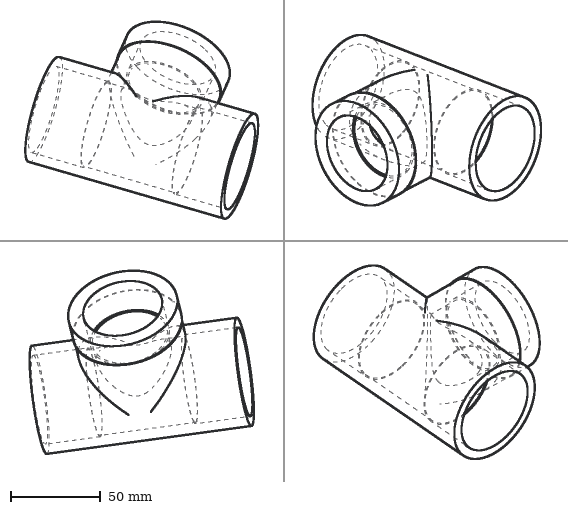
import cadquery as cq

run_length = 116.0
body_diameter = 61.0
run_bore_diameter = 48.5
socket_diameter = 50.0
socket_depth = 31.0

outlet_height = 58.9
collar_diameter = 62.0
collar_length = 14.5
outlet_bore_diameter = 44.84
outlet_bore_depth = 22.0
branch_bore_diameter = 42.5


def run_cylinder(diameter, start, length):
    """Cylinder on the run axis, from X = start towards +X."""
    return cq.Workplane("YZ", origin=(start, 0, 0)).circle(diameter / 2).extrude(length)


def branch_cylinder(diameter, start, end):
    """Cylinder on the branch axis, from Y = start to Y = end."""
    return cq.Workplane("XZ", origin=(0, start, 0)).circle(diameter / 2).extrude(start - end)


def make_outside():
    """Run and branch of equal diameter, meeting in a mitre, with the collar on the outlet."""
    run = run_cylinder(body_diameter, -run_length / 2, run_length)
    branch = branch_cylinder(body_diameter, 0, outlet_height)
    collar = branch_cylinder(collar_diameter, outlet_height - collar_length, outlet_height)
    return run.union(branch).union(collar)


def cut_run_bore(body):
    """Through bore with a wider pipe socket at each end."""
    bore = run_cylinder(run_bore_diameter, -run_length / 2, run_length)
    left_socket = run_cylinder(socket_diameter, -run_length / 2, socket_depth)
    right_socket = run_cylinder(socket_diameter, run_length / 2 - socket_depth, socket_depth)
    return body.cut(bore).cut(left_socket).cut(right_socket)


def cut_branch_bore(body):
    """Branch passage into the run bore, widened from the outlet face inwards."""
    passage = branch_cylinder(branch_bore_diameter, 0, outlet_height)
    outlet_bore = branch_cylinder(outlet_bore_diameter, outlet_height - outlet_bore_depth, outlet_height)
    return body.cut(passage).cut(outlet_bore)


result = cut_branch_bore(cut_run_bore(make_outside()))